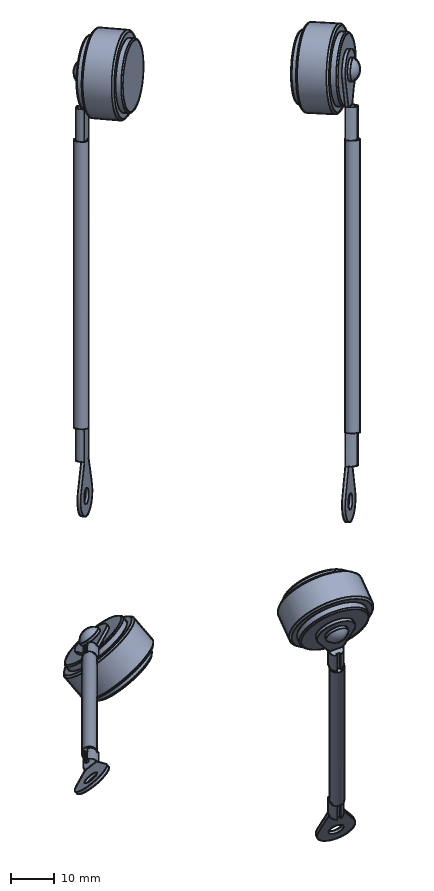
import cadquery as cq
import math

total_height = 116.9
cable_diameter = 3.5
cable_radius = cable_diameter / 2
lug_thickness = 0.8
lug_front_x = 2.2
lug_back_x = lug_front_x + lug_thickness
eye_radius = 4.8
eye_hole_diameter = 3.7
eye_to_barrel = 8.5
barrel_length = 7.8
barrel_radius = cable_radius
slit_width = 0.8
slit_depth = 0.6

cap_diameter = 21.0
cap_step_diameter = 17.4
cap_end_x = 14.3
rim_start_x = 4.8
rim_end_x = 12.6
rim_chamfer = 0.5
core_chamfer = 0.4

rivet_head_diameter = 5.6
rivet_dome_height = 1.5

cap_center_z = total_height - cap_diameter / 2
lower_eye_z = eye_radius


def disc(diameter, start_x, end_x, center_z):
    """Cylinder along X between two X positions."""
    return (
        cq.Workplane("YZ", origin=(start_x, 0, center_z))
        .circle(diameter / 2)
        .extrude(end_x - start_x)
    )


def make_eye(eye_z, toward_cable):
    """Flat teardrop eye; toward_cable is +1 or -1 along Z."""
    neck_angle = math.atan2(eye_to_barrel, barrel_radius)
    neck_distance = math.hypot(eye_to_barrel, barrel_radius)
    tangent_angle = neck_angle - math.acos(eye_radius / neck_distance)
    tangent_y = eye_radius * math.cos(tangent_angle)
    tangent_z = eye_z + toward_cable * eye_radius * math.sin(tangent_angle)
    neck_z = eye_z + toward_cable * eye_to_barrel
    tip_z = eye_z - toward_cable * eye_radius
    plate = (
        cq.Workplane("YZ", origin=(lug_front_x, 0, 0))
        .moveTo(-barrel_radius, neck_z)
        .lineTo(-tangent_y, tangent_z)
        .threePointArc((0, tip_z), (tangent_y, tangent_z))
        .lineTo(barrel_radius, neck_z)
        .close()
        .extrude(lug_thickness)
    )
    return plate.cut(disc(eye_hole_diameter, lug_front_x, lug_back_x, eye_z))


def make_barrel(bottom_z):
    """Crimp barrel: flat base, half-round front and a slit along the crest."""
    crest_x = lug_front_x - barrel_radius
    barrel = (
        cq.Workplane("XY", origin=(0, 0, bottom_z))
        .moveTo(lug_back_x, -barrel_radius)
        .lineTo(lug_front_x, -barrel_radius)
        .threePointArc((crest_x, 0), (lug_front_x, barrel_radius))
        .lineTo(lug_back_x, barrel_radius)
        .close()
        .extrude(barrel_length)
    )
    slit = (
        cq.Workplane("XY", origin=(crest_x, 0, bottom_z))
        .rect(2 * slit_depth, slit_width)
        .extrude(barrel_length)
    )
    return barrel.cut(slit)


def make_lanyard():
    cable_bottom_z = lower_eye_z + eye_to_barrel + barrel_length
    cable_top_z = cap_center_z - eye_to_barrel - barrel_length
    lanyard = (
        cq.Workplane("XY", origin=(cable_radius, 0, cable_bottom_z))
        .circle(cable_radius)
        .extrude(cable_top_z - cable_bottom_z)
    )
    lower_barrel_z = cable_bottom_z - barrel_length
    for eye_z, toward_cable, barrel_z in (
        (lower_eye_z, 1, lower_barrel_z),
        (cap_center_z, -1, cable_top_z),
    ):
        lanyard = lanyard.union(make_barrel(barrel_z))
        lanyard = lanyard.union(make_eye(eye_z, toward_cable))
    return lanyard


def make_cap():
    core = disc(cap_step_diameter, lug_back_x, cap_end_x, cap_center_z)
    rim = disc(cap_diameter, rim_start_x, rim_end_x, cap_center_z)
    core = core.faces("<X or >X").chamfer(core_chamfer)
    rim = rim.faces("<X or >X").chamfer(rim_chamfer)
    return core.union(rim)


def make_rivet():
    head_radius = rivet_head_diameter / 2
    dome_radius = (head_radius**2 + rivet_dome_height**2) / (2 * rivet_dome_height)
    head = disc(rivet_head_diameter, 0, lug_front_x, cap_center_z)
    dome = cq.Workplane("XY", origin=(dome_radius, 0, cap_center_z)).sphere(dome_radius)
    shank = disc(eye_hole_diameter, lug_front_x, lug_back_x, cap_center_z)
    return head.intersect(dome).union(shank)


lanyard = make_lanyard()
cap = make_cap()
rivet = make_rivet()

result = cq.Compound.makeCompound([lanyard.val(), cap.val(), rivet.val()])